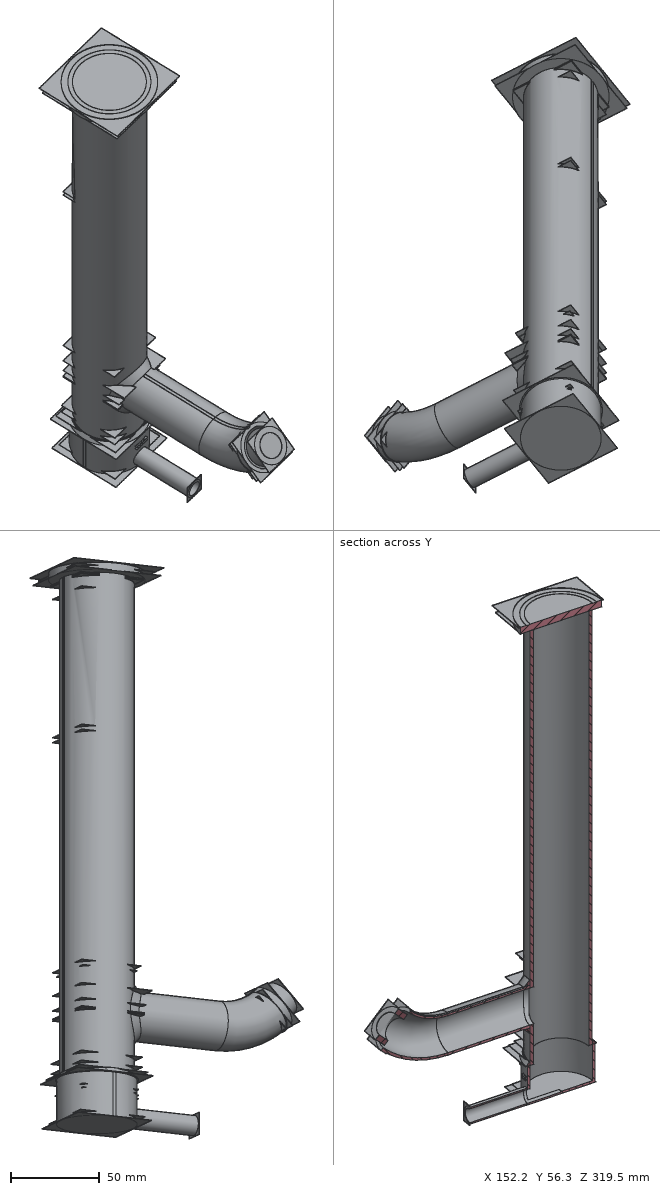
import cadquery as cq
import math

SHEET = 0.3
WALL = 2.0
SEAM_WIDTH = 2.0
SEAM_DEPTH = 0.3

TOTAL_HEIGHT = 319.5
PIPE_RADIUS = 21.0
PIPE_WALL = 3.0
PIPE_BORE = PIPE_RADIUS - PIPE_WALL
PIPE_BOTTOM = 26.2
PIPE_SHEETS = [
    (31.5, 19.2, -19.2, 19.2),
    (37.5, 19.2, -19.2, 19.2),
    (62.3, 18.5, -18.5, 20.8),
    (63.3, 18.5, -18.5, 20.8),
    (68.0, 18.5, -18.5, 21.7),
    (76.7, 18.5, -18.5, 25.5),
    (87.5, 17.0, -17.0, 17.0),
    (90.0, 18.5, -18.5, 18.5),
    (223.0, 18.5, -18.5, 0.0),
    (226.0, 18.5, -18.5, 0.0),
    (306.0, 18.5, -18.5, 0.0),
    (313.0, 19.5, -19.5, 19.5),
    (314.0, 19.5, -19.5, 19.5),
]

FLANGE_SQUARE = 56.3
FLANGE_RADIUS = 27.2
FLANGE_HEIGHT = 4.8
FLANGE_BOTTOM = TOTAL_HEIGHT - FLANGE_HEIGHT
FLANGE_LOWER_SQUARE = 53.7
FLANGE_MIDDLE_SQUARE = 49.2
RING_OUTER = 23.3
RING_INNER = 20.8
STEP = 0.15

CUP_RADIUS = 22.7
CUP_BORE = CUP_RADIUS - WALL
CUP_BOTTOM = 0.48
CUP_SHEETS = [
    (CUP_BOTTOM, 23.0, -23.0, 23.0),
    (3.0, 20.0, -20.0, 20.0),
    (17.0, 17.0, -17.0, 17.0),
    (17.0, 4.8, 0.0, 23.5),
    (19.0, 17.5, -17.5, 17.5),
    (19.0, 4.8, 0.0, 23.5),
]
COLLAR_TOP = 29.0
COLLAR_SQUARE = 47.3
COLLAR_UPPER_SQUARE = 42.8

DRAIN_RADIUS = 5.8
DRAIN_HALF_SHEET = 6.5
DRAIN_Z = DRAIN_HALF_SHEET
DRAIN_END = 61.0
DRAIN_WALL = 1.3
DRAIN_BORE = DRAIN_RADIUS - DRAIN_WALL

BRANCH_RADIUS = 14.0
BRANCH_BORE = BRANCH_RADIUS - WALL
BRANCH_Z = 65.5
BRANCH_END = 75.5
SADDLE_CHAMFER = 3.8

BEND_ANGLE = 45.0
BEND_RADIUS = 49.0
NOZZLE_RADIUS = 11.0
NOZZLE_BORE = 7.5
NOZZLE_LENGTH = 8.5
NOZZLE_HALF_SHEET = 11.2
MOUTH_RING_RADIUS = 14.5
MOUTH_RING_LENGTH = 4.8
ELBOW_SHEETS = [(SHEET, 14.5), (MOUTH_RING_LENGTH, 13.5), (8.5, 12.0)]

BEND = math.radians(BEND_ANGLE)
MOUTH_DIR = (math.cos(BEND), 0, math.sin(BEND))
MOUTH = (
    BRANCH_END + BEND_RADIUS * math.sin(BEND),
    0,
    BRANCH_Z + BEND_RADIUS * (1 - math.cos(BEND)),
)


def disc(radius, bottom, top):
    """Upright cylinder about the main axis."""
    return cq.Workplane("XY").workplane(offset=bottom).circle(radius).extrude(top - bottom)


def rod(radius, z, start, end):
    """Cylinder along X at height z."""
    return cq.Workplane("YZ", origin=(start, 0, z)).circle(radius).extrude(end - start)


def flat_sheet(bottom, half_y, x_low, x_high):
    """Thin level rectangle, symmetric in Y."""
    return cq.Workplane("XY").box(
        x_high - x_low, 2 * half_y, SHEET, centered=(False, True, False)
    ).translate((x_low, 0, bottom))


def square_sheet(side, bottom):
    return flat_sheet(bottom, side / 2, -side / 2, side / 2)


def mouth_plane(distance):
    """Plane across the elbow axis, a distance beyond the elbow end."""
    origin = tuple(m + distance * d for m, d in zip(MOUTH, MOUTH_DIR))
    return cq.Workplane(cq.Plane(origin=origin, xDir=(0, 1, 0), normal=MOUTH_DIR))


def elbow_sweep(radius):
    """Round bar bent up from the branch end to the mouth."""
    return (
        cq.Workplane("YZ", origin=(BRANCH_END, 0, BRANCH_Z))
        .circle(radius)
        .revolve(BEND_ANGLE, (0, BEND_RADIUS), (-1, BEND_RADIUS))
    )


def make_flange():
    """Square-edged lid with a round body and a shallow ring groove on top."""
    body = disc(FLANGE_RADIUS, FLANGE_BOTTOM, TOTAL_HEIGHT)
    body = body.union(square_sheet(FLANGE_SQUARE, TOTAL_HEIGHT - STEP - SHEET))
    body = body.union(square_sheet(FLANGE_MIDDLE_SQUARE, FLANGE_BOTTOM + FLANGE_HEIGHT / 2))
    body = body.union(square_sheet(FLANGE_LOWER_SQUARE, FLANGE_BOTTOM))
    groove = disc(RING_OUTER, TOTAL_HEIGHT - STEP, TOTAL_HEIGHT).cut(
        disc(RING_INNER, TOTAL_HEIGHT - STEP, TOTAL_HEIGHT)
    )
    return body.cut(groove)


def make_saddle():
    """Sloped ring that fills the corner between the main pipe and the branch."""
    pipe = disc(PIPE_RADIUS, PIPE_BOTTOM, FLANGE_BOTTOM)
    branch = rod(BRANCH_RADIUS, BRANCH_Z, 0, BRANCH_END)
    near_joint = cq.selectors.BoxSelector(
        (0, -PIPE_RADIUS, BRANCH_Z - PIPE_RADIUS),
        (PIPE_RADIUS + SADDLE_CHAMFER, PIPE_RADIUS, BRANCH_Z + PIPE_RADIUS),
    )
    joined = pipe.union(branch)
    return joined.edges(near_joint).chamfer(SADDLE_CHAMFER).cut(pipe).cut(branch)


def make_pipe(saddle):
    """Main pipe wall with its side seam, branch opening and sheet corners."""
    body = disc(PIPE_RADIUS, PIPE_BOTTOM, FLANGE_BOTTOM)
    body = body.cut(disc(PIPE_BORE, PIPE_BOTTOM, FLANGE_BOTTOM))
    seam = cq.Workplane("XY").box(
        2 * SEAM_DEPTH, SEAM_WIDTH, FLANGE_BOTTOM - COLLAR_TOP, centered=(True, True, False)
    ).translate((-PIPE_RADIUS, 0, COLLAR_TOP))
    body = body.cut(seam)
    branch_outside = rod(BRANCH_RADIUS, BRANCH_Z, 0, BRANCH_END).cut(
        disc(PIPE_RADIUS, PIPE_BOTTOM, FLANGE_BOTTOM)
    )
    branch_opening = rod(BRANCH_BORE, BRANCH_Z, 0, BRANCH_END)
    body = body.cut(branch_opening)
    for sheet in PIPE_SHEETS:
        fins = flat_sheet(*sheet).cut(disc(PIPE_RADIUS, PIPE_BOTTOM, FLANGE_BOTTOM))
        body = body.union(fins.cut(branch_outside).cut(saddle))
    return body


def make_collar():
    """Cone ring around the foot of the main pipe."""
    body = (
        cq.Workplane("XY", origin=(0, 0, PIPE_BOTTOM))
        .circle(COLLAR_SQUARE / 2)
        .workplane(offset=COLLAR_TOP - PIPE_BOTTOM)
        .circle(PIPE_RADIUS + SHEET)
        .loft()
    )
    body = body.union(square_sheet(COLLAR_SQUARE, PIPE_BOTTOM))
    body = body.union(square_sheet(COLLAR_UPPER_SQUARE, COLLAR_TOP - 2 * SHEET))
    return body.cut(disc(PIPE_RADIUS, PIPE_BOTTOM, COLLAR_TOP))


def make_cup():
    """Closed-bottom cup with an opening for the drain."""
    outside = disc(CUP_RADIUS, CUP_BOTTOM, PIPE_BOTTOM)
    body = outside.cut(disc(CUP_BORE, CUP_BOTTOM + WALL, PIPE_BOTTOM))
    seam = cq.Workplane("XY").box(
        SEAM_WIDTH, 2 * SEAM_DEPTH, PIPE_BOTTOM - CUP_BOTTOM, centered=(True, True, False)
    ).translate((0, -CUP_RADIUS, CUP_BOTTOM + SHEET))
    body = body.cut(seam).cut(rod(DRAIN_BORE, DRAIN_Z, 0, DRAIN_END))
    drain_outside = rod(DRAIN_RADIUS, DRAIN_Z, CUP_BORE, DRAIN_END)
    for sheet in CUP_SHEETS:
        body = body.union(flat_sheet(*sheet).cut(outside).cut(drain_outside))
    return body


def make_drain():
    """Drain pipe that ends in a square sheet."""
    body = rod(DRAIN_RADIUS, DRAIN_Z, 0, DRAIN_END)
    body = body.cut(disc(CUP_RADIUS, CUP_BOTTOM - SHEET, PIPE_BOTTOM))
    end_sheet = cq.Workplane("XY").box(SHEET, 2 * DRAIN_HALF_SHEET, 2 * DRAIN_HALF_SHEET)
    body = body.union(end_sheet.translate((DRAIN_END - SHEET / 2, 0, DRAIN_Z)))
    return body.cut(rod(DRAIN_BORE, DRAIN_Z, 0, DRAIN_END))


def make_branch():
    """Side pipe from the main pipe to the elbow."""
    body = rod(BRANCH_RADIUS, BRANCH_Z, 0, BRANCH_END)
    body = body.cut(rod(BRANCH_BORE, BRANCH_Z, 0, BRANCH_END))
    body = body.cut(disc(PIPE_RADIUS, PIPE_BOTTOM, FLANGE_BOTTOM))
    seam = cq.Workplane("XY").box(
        BRANCH_END, SEAM_WIDTH, 2 * SEAM_DEPTH, centered=(False, True, True)
    ).translate((PIPE_RADIUS + SADDLE_CHAMFER, 0, BRANCH_Z + BRANCH_RADIUS))
    return body.cut(seam)


def make_elbow():
    """Hollow bend with a ring and sheets at its mouth."""
    body = elbow_sweep(BRANCH_RADIUS)
    body = body.union(mouth_plane(-MOUTH_RING_LENGTH).circle(MOUTH_RING_RADIUS).extrude(MOUTH_RING_LENGTH))
    for setback, half_width in ELBOW_SHEETS:
        body = body.union(mouth_plane(-setback).rect(2 * half_width, 2 * half_width).extrude(SHEET))
    seam = (
        cq.Workplane("YZ", origin=(BRANCH_END, 0, BRANCH_Z))
        .center(0, BRANCH_RADIUS)
        .rect(SEAM_WIDTH, 2 * SEAM_DEPTH)
        .revolve(BEND_ANGLE, (0, BEND_RADIUS - BRANCH_RADIUS), (-1, BEND_RADIUS - BRANCH_RADIUS))
    )
    return body.cut(seam).cut(elbow_sweep(BRANCH_BORE))


def make_nozzle():
    """Short pipe beyond the elbow, closed by a square sheet."""
    body = mouth_plane(0).circle(NOZZLE_RADIUS).circle(NOZZLE_BORE).extrude(NOZZLE_LENGTH)
    side = 2 * NOZZLE_HALF_SHEET
    end_sheet = mouth_plane(NOZZLE_LENGTH - SHEET).rect(side, side).extrude(SHEET)
    recess = mouth_plane(NOZZLE_LENGTH - STEP).circle(NOZZLE_BORE).extrude(STEP)
    return body.union(end_sheet).cut(recess)


flange = make_flange()
saddle = make_saddle()
pipe = make_pipe(saddle)
collar = make_collar()
cup = make_cup()
drain = make_drain()
branch = make_branch()
elbow = make_elbow()
nozzle = make_nozzle()

result = cq.Compound.makeCompound([
    flange.val(),
    pipe.val(),
    collar.val(),
    cup.val(),
    drain.val(),
    saddle.val(),
    branch.val(),
    elbow.val(),
    nozzle.val(),
])